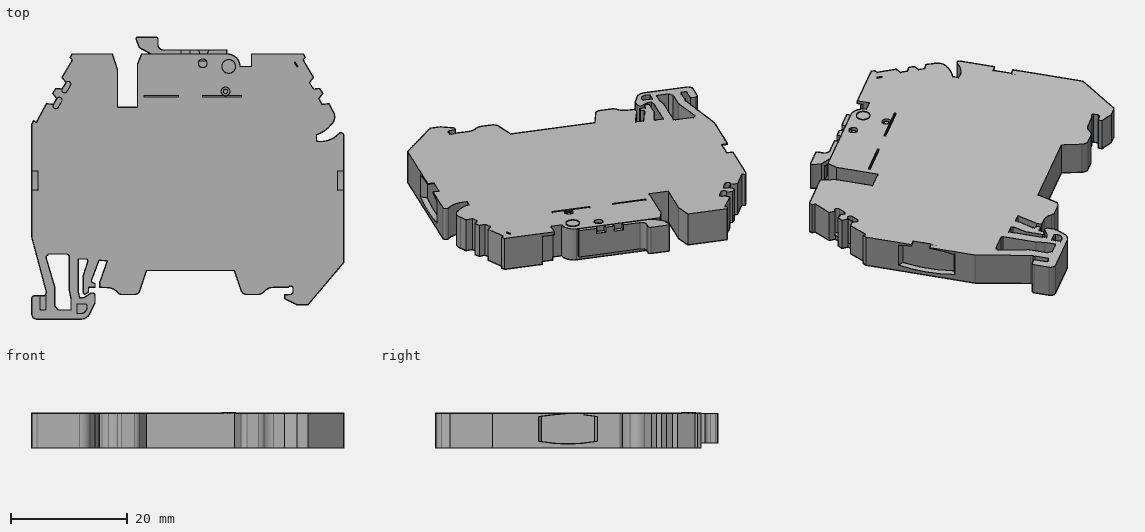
import cadquery as cq

length = 53.5
half_length = length / 2
body_thickness = 6.0
shoulder_y = 45.5
rail_seat_y = 8.35
rail_lobe_y = 4.2
rail_slot_y = 5.45

stop_x = 10.9
undercut_length = 2.15
undercut_bottom_y = 44.45
undercut_front_z = 5.4

shoulder_steps = [
    (19.85, shoulder_y), (20.15, 44.9), (19.8, 44.45), (21.55, 41.45), (20.85, 40.55), (21.55, 39.5),
    (22.6, 39.6), (23.15, 38.75), (22.45, 37.8), (23.0, 36.85), (24.25, 36.95),
]

foot_top = 4.05
foot_neck_x = -24.3
foot_pocket_floor = 1.05
foot_pocket_left = -25.35
foot_pocket_bottom = 1.6
foot_pocket_radius = 0.25

shoulder_pocket_centers = [(-20.8, 39.8), (-22.3, 37.1)]
shoulder_pocket_length = 2.15
shoulder_pocket_width = 0.95
shoulder_pocket_angle = 60.0
shoulder_pocket_floor = 0.85

recess_middle_y = 22.7
recess_mouth = 10.1
recess_bottom = 9.05
recess_depth = 1.05
recess_low_z = 1.2
recess_low_peak_z = 0.7
recess_high_z = 5.35
recess_high_peak_z = 5.85
notch_y_range = (22.2, 25.4)

lever_top = 48.35
lever_back_z = 0.85
lever_front_z = 5.95
lever_bar_y = 46.15
lever_right_x = 6.7
lever_root_y = 44.95
lever_web_z = (1.9, 5.0)
lever_gaps = [((-1.2, 0.45), (-1.2, 0.45)), ((1.85, 3.65), (2.1, 3.3))]
lever_pocket_right = -5.9

pivot_center = (7.0, 43.35)
pivot_radius = 1.2
pivot_height = 0.1
hole_center = (2.55, 43.85)
hole_radius = 0.75
hole_depth = 0.65
hole_ledge_y = 44.25
hole_ledge_depth = 0.3
groove_y = 38.25
groove_width = 0.25
groove_depth = 0.3
groove_x_ranges = [(-7.5, -1.6), (2.5, 9.2)]
pin_center = (6.5, 39.05)
pin_radius = 0.4
ring_radius = 0.75
ring_depth = 0.55
pin_top_depth = 0.2
nick_center = (18.55, 43.65)
nick_length = 0.85
nick_width = 0.15
nick_angle = -58.0
nick_depth = 0.15


def box(x_range, y_range, z_range):
    size = [high - low for low, high in (x_range, y_range, z_range)]
    corner = (x_range[0], y_range[0], z_range[0])
    return cq.Workplane("XY").box(*size, centered=False).translate(corner)


def front_pocket(depth):
    """Workplane at the given depth below the front face."""
    return cq.Workplane("XY").workplane(offset=body_thickness - depth)


def make_body():
    left_shoulder = [(-x, y) for x, y in shoulder_steps]
    outline = (
        cq.Workplane("XY").moveTo(*left_shoulder[0])
        .lineTo(-12.9, shoulder_y)
        .lineTo(-12.05, 42.8)
        .lineTo(-12.05, 36.4)
        .lineTo(-8.6, 36.4)
        .lineTo(-8.6, 43.75)
        .lineTo(-7.9, shoulder_y)
        .lineTo(7.0, shoulder_y)
        .threePointArc((8.35, 44.85), (9.0, 43.35))
        .lineTo(stop_x, 43.35)
        .lineTo(stop_x, shoulder_y)
        .polyline(shoulder_steps, includeCurrent=True)
        .lineTo(24.8, 35.8)
        .threePointArc((25.2, 34.55), (24.55, 33.35))
        .threePointArc((23.75, 32.55), (22.1, 31.6))
        .lineTo(22.1, 30.55)
        .threePointArc((24.15, 30.7), (25.85, 31.8))
        .threePointArc((26.3, 32.0), (half_length, 31.55))
        .lineTo(half_length, 9.75)
        .lineTo(20.6, 2.45)
        .lineTo(18.7, 2.45)
        .lineTo(16.6, 3.55)
        .lineTo(16.6, 4.2)
        .lineTo(17.7, 4.3)
        .lineTo(18.05, 4.55)
        .lineTo(18.05, 5.45)
        .threePointArc((17.75, 5.65), (17.25, rail_slot_y))
        .lineTo(14.7, rail_slot_y)
        .threePointArc((13.65, 5.2), (13.05, 4.65))
        .threePointArc((12.6, 4.4), (12.15, rail_lobe_y))
        .lineTo(10.15, rail_lobe_y)
        .threePointArc((9.5, 4.45), (9.1, 5.05))
        .lineTo(7.95, rail_seat_y)
        .lineTo(-7.05, rail_seat_y)
        .lineTo(-8.25, 4.8)
        .threePointArc((-8.55, 4.45), (-9.1, rail_lobe_y))
        .lineTo(-11.35, rail_lobe_y)
        .threePointArc((-11.7, 4.35), (-12.05, 4.6))
        .threePointArc((-12.7, 5.15), (-13.6, 5.4))
        .lineTo(-14.65, rail_slot_y)
        .lineTo(-15.1, rail_slot_y)
        .lineTo(-15.1, 6.35)
        .lineTo(-13.8, 10.0)
        .lineTo(-15.2, 10.1)
        .lineTo(-16.5, 6.7)
        .lineTo(-16.4, 6.35)
        .lineTo(-15.9, 6.15)
        .lineTo(-15.9, rail_slot_y)
        .lineTo(-16.95, rail_slot_y)
        .lineTo(-17.0, 4.65)
        .lineTo(-17.65, 4.2)
        .lineTo(-17.9, 4.5)
        .lineTo(-17.9, 7.5)
        .lineTo(-17.1, 10.0)
        .lineTo(-17.3, 10.3)
        .lineTo(-18.7, 10.3)
        .lineTo(-18.7, 4.6)
        .lineTo(-18.5, 3.7)
        .lineTo(-17.75, 3.75)
        .lineTo(-16.7, 4.45)
        .threePointArc((-16.15, 4.5), (-15.9, 4.1))
        .lineTo(-15.9, 2.8)
        .lineTo(-16.75, 1.0)
        .threePointArc((-17.45, 0.25), (-18.5, 0.0))
        .lineTo(-25.85, 0.0)
        .threePointArc((-26.5, 0.25), (-half_length, 0.9))
        .lineTo(-half_length, 3.6)
        .threePointArc((-26.6, 3.9), (-26.25, foot_top))
        .lineTo(-24.5, foot_top)
        .lineTo(foot_neck_x, 4.5)
        .lineTo(foot_neck_x, 4.85)
        .lineTo(-half_length, 14.05)
        .lineTo(-half_length, 33.45)
        .lineTo(-26.45, 34.1)
        .lineTo(-25.95, 33.75)
        .polyline(left_shoulder[:0:-1], includeCurrent=True)
        .close()
    )
    return outline.extrude(body_thickness)


def edge_undercut():
    return box(
        (stop_x, stop_x + undercut_length),
        (undercut_bottom_y, shoulder_y),
        (0, undercut_front_z),
    )


def foot_window():
    """Through opening between the two spring arms of the foot."""
    outline = [
        (-23.85, 11.2), (-20.65, 11.2), (-20.35, 10.9), (-20.35, 5.05), (-20.0, 3.5),
        (-20.0, 1.6), (-22.2, 1.6), (-22.8, 2.35), (-22.8, 5.55), (-24.3, 10.7),
    ]
    return cq.Workplane("XY").polyline(outline).close().extrude(body_thickness)


def foot_pockets():
    pocket_depth = body_thickness - foot_pocket_floor
    side_pocket = box(
        (foot_pocket_left, foot_neck_x),
        (foot_pocket_bottom, foot_top),
        (foot_pocket_floor, body_thickness),
    ).edges("|Z and <Y").fillet(foot_pocket_radius)
    toe_pocket = (
        front_pocket(pocket_depth)
        .moveTo(-19.0, 2.6)
        .lineTo(-17.45, 2.6)
        .lineTo(-17.3, 2.4)
        .lineTo(-17.3, 1.9)
        .threePointArc((-17.6, 1.3), (-18.2, 1.0))
        .lineTo(-19.0, 1.0)
        .close()
        .extrude(pocket_depth)
    )
    return side_pocket.union(toe_pocket)


def shoulder_pockets():
    depth = body_thickness - shoulder_pocket_floor
    return (
        front_pocket(depth)
        .pushPoints(shoulder_pocket_centers)
        .slot2D(shoulder_pocket_length, shoulder_pocket_width, shoulder_pocket_angle)
        .extrude(depth)
    )


def end_recess():
    """Marker recess in the left end: flared along Y, arched towards both faces."""
    half_mouth = recess_mouth / 2
    half_bottom = recess_bottom / 2
    inner_x = -half_length + recess_depth
    flare = (
        cq.Workplane("XY")
        .polyline([
            (-half_length, recess_middle_y - half_mouth),
            (inner_x, recess_middle_y - half_bottom),
            (inner_x, recess_middle_y + half_bottom),
            (-half_length, recess_middle_y + half_mouth),
        ])
        .close()
        .extrude(body_thickness)
    )
    near_y = recess_middle_y - half_mouth
    far_y = recess_middle_y + half_mouth
    arched = (
        cq.Workplane("YZ", origin=(-half_length, 0, 0))
        .moveTo(near_y, recess_low_z)
        .threePointArc((recess_middle_y, recess_low_peak_z), (far_y, recess_low_z))
        .lineTo(far_y, recess_high_z)
        .threePointArc((recess_middle_y, recess_high_peak_z), (near_y, recess_high_z))
        .close()
        .extrude(recess_depth)
    )
    window = box((-half_length, inner_x), notch_y_range, (recess_high_z, body_thickness))
    return flare.intersect(arched).union(window)


def make_lever():
    lever = (
        cq.Workplane("XY").workplane(offset=lever_back_z)
        .moveTo(-8.6, lever_top)
        .lineTo(-5.45, lever_top)
        .threePointArc((-5.2, 48.25), (-5.1, 48.0))
        .lineTo(-5.1, 47.15)
        .threePointArc((-4.8, 46.45), (-4.1, lever_bar_y))
        .lineTo(lever_right_x, lever_bar_y)
        .lineTo(lever_right_x, lever_root_y)
        .lineTo(-5.35, lever_root_y)
        .lineTo(-8.3, 46.55)
        .lineTo(-8.9, 48.05)
        .threePointArc((-8.85, 48.25), (-8.6, lever_top))
        .close()
        .extrude(lever_front_z - lever_back_z)
    )
    web_high = lever_web_z[1]
    for top_range, root_range in lever_gaps:
        gap = (
            cq.Workplane("XY").workplane(offset=web_high)
            .polyline([
                (top_range[0], lever_bar_y), (top_range[1], lever_bar_y),
                (root_range[1], shoulder_y), (root_range[0], shoulder_y),
            ])
            .close()
            .extrude(lever_front_z - web_high)
        )
        lever = lever.cut(gap)
    underside_pocket = box((-half_length, lever_pocket_right), (shoulder_y, lever_bar_y), lever_web_z)
    return lever.cut(underside_pocket)


def front_hole():
    hole = front_pocket(hole_depth).center(*hole_center).circle(hole_radius).extrude(hole_depth)
    ledge = box(
        (hole_center[0] - hole_radius, hole_center[0] + hole_radius),
        (hole_ledge_y, hole_center[1] + hole_radius),
        (body_thickness - hole_depth, body_thickness - hole_ledge_depth),
    )
    return hole.cut(ledge)


def front_grooves():
    """Two line grooves, the right-hand one joined by a ring recess around a pin."""
    pin_height = ring_depth - pin_top_depth
    ring = front_pocket(ring_depth).center(*pin_center)
    grooves = ring.circle(ring_radius).extrude(ring_depth)
    grooves = grooves.cut(ring.circle(pin_radius).extrude(pin_height))
    for x_range in groove_x_ranges:
        y_range = (groove_y - groove_width / 2, groove_y + groove_width / 2)
        grooves = grooves.union(box(x_range, y_range, (body_thickness - groove_depth, body_thickness)))
    return grooves


def front_nick():
    return (
        front_pocket(nick_depth)
        .center(*nick_center)
        .transformed(rotate=(0, 0, nick_angle))
        .rect(nick_length, nick_width)
        .extrude(nick_depth)
    )


left_recess = end_recess()
pivot = (
    cq.Workplane("XY")
    .center(*pivot_center)
    .circle(pivot_radius)
    .extrude(body_thickness + pivot_height)
)

result = (
    make_body()
    .cut(edge_undercut())
    .cut(foot_window())
    .cut(foot_pockets())
    .cut(shoulder_pockets())
    .cut(left_recess)
    .cut(left_recess.mirror("YZ"))
    .union(make_lever())
    .cut(front_hole())
    .cut(front_grooves())
    .cut(front_nick())
    .union(pivot)
)